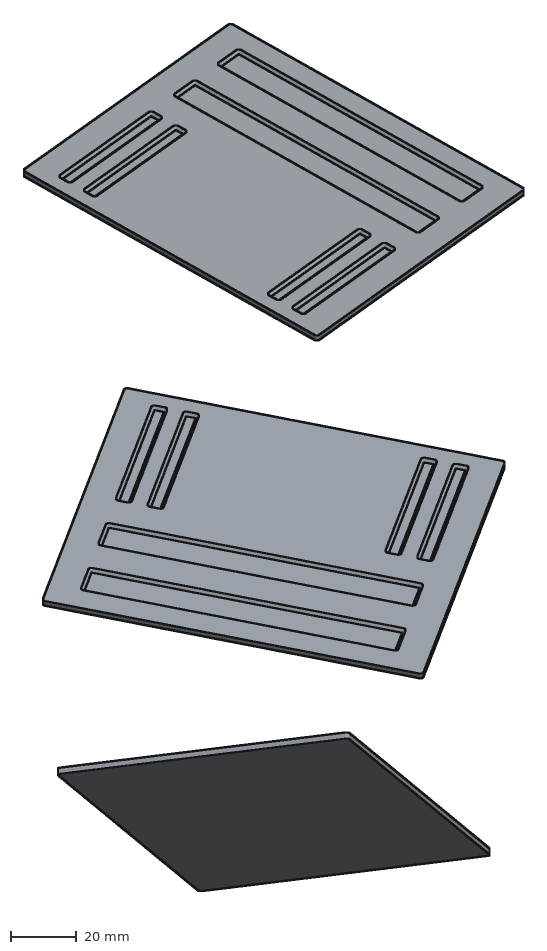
import cadquery as cq

length = 120.0
width = 95.0
thickness = 2.0
corner_radius = 1.0

grid = length / 12

recess_depth = 1.02
wall_taper = 45.0
rim_radius = 1.03
side_margin = grid

wide_length = length - 2 * side_margin
wide_width = grid
wide_pitch = 2 * grid
back_margin = 7.5
wide_count = 2

narrow_width = grid / 2
narrow_pitch = grid
narrow_length = 42.5
front_margin = grid / 2


def recess_cutter(size_x, size_y, center_x, center_y):
    """Tapered cutter, widest at the top face and narrowing downward."""
    rim = cq.Sketch().rect(size_x, size_y).vertices().fillet(rim_radius)
    return (
        cq.Workplane("XY", origin=(center_x, center_y, thickness))
        .placeSketch(rim)
        .extrude(-recess_depth, taper=wall_taper)
    )


result = (
    cq.Workplane("XY")
    .box(length, width, thickness, centered=(True, True, False))
    .edges("|Z")
    .fillet(corner_radius)
)

first_wide_y = width / 2 - back_margin - wide_width / 2
for index in range(wide_count):
    wide_y = first_wide_y - index * wide_pitch
    result = result.cut(recess_cutter(wide_length, wide_width, 0, wide_y))

outer_narrow_x = length / 2 - side_margin - narrow_width / 2
narrow_y = -width / 2 + front_margin + narrow_length / 2
for side in (-1, 1):
    for offset in (0, narrow_pitch):
        narrow_x = side * (outer_narrow_x - offset)
        result = result.cut(recess_cutter(narrow_width, narrow_length, narrow_x, narrow_y))